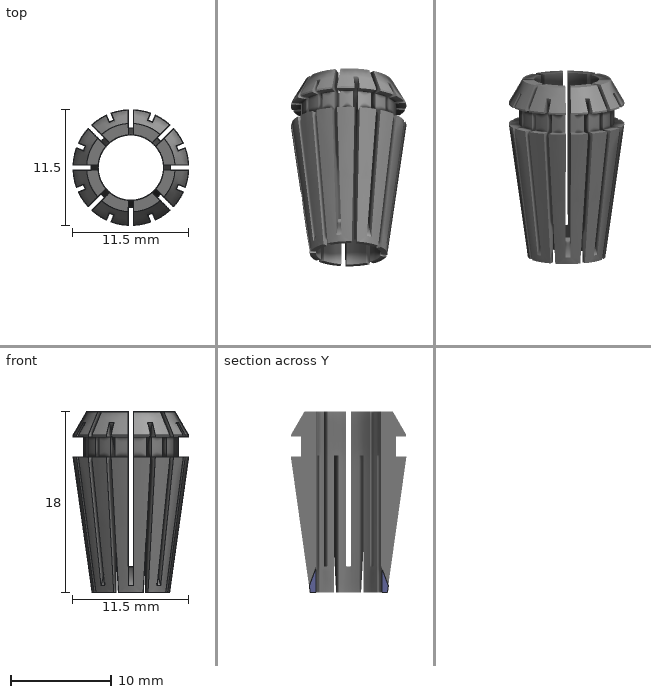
import cadquery as cq
import math


length = 18.0
body_height = 13.5
flange_bottom = 15.5
rim_height = 0.18

body_diameter = 11.52
flange_diameter = 11.48
groove_diameter = 9.49
bore_diameter = 6.5
body_half_angle = 8.0
nose_half_angle = 30.0

slits_per_end = 8
slit_width = 0.5
upper_slit_floor = 2.57
upper_slit_floor_angle = 69.5
lower_slit_roof = 16.94
lower_slit_roof_angle = 62.0
clearance = 0.9

body_radius = body_diameter / 2
flange_radius = flange_diameter / 2
groove_radius = groove_diameter / 2
bore_radius = bore_diameter / 2
rim_top = flange_bottom + rim_height
slit_pitch = 360.0 / slits_per_end


def make_body():
    """Ring of revolution: tapered body, groove and conical nose around a plain bore."""
    small_end_radius = body_radius - body_height * math.tan(math.radians(body_half_angle))
    nose_radius = nose_cone_radius(length)
    return (
        cq.Workplane("XZ")
        .moveTo(bore_radius, 0)
        .lineTo(small_end_radius, 0)
        .lineTo(body_radius, body_height)
        .lineTo(groove_radius, body_height)
        .lineTo(groove_radius, flange_bottom)
        .lineTo(flange_radius, flange_bottom)
        .lineTo(flange_radius, rim_top)
        .lineTo(nose_radius, length)
        .lineTo(bore_radius, length)
        .close()
        .revolve(360, (0, 0, 0), (0, 1, 0))
    )


def nose_cone_radius(height):
    """Radius of the nose cone at a height above the rim."""
    return flange_radius - (height - rim_top) * math.tan(math.radians(nose_half_angle))


def make_slit(end_radius, end_height, end_slope, open_height):
    """Radial slit along +X, closed by a sloping end and open towards open_height.

    The sloping end passes through (end_radius, end_height) with a rise of
    end_slope per unit of radius.
    """
    inner = bore_radius - clearance
    outer = body_radius + clearance
    inner_end = end_height + (inner - end_radius) * end_slope
    outer_end = end_height + (outer - end_radius) * end_slope
    return (
        cq.Workplane("XZ")
        .polyline([(inner, inner_end), (outer, outer_end), (outer, open_height), (inner, open_height)])
        .close()
        .extrude(slit_width / 2, both=True)
    )


def cut_around(body, slit, first_angle):
    """Cut evenly spaced copies of a slit, starting at first_angle."""
    for index in range(slits_per_end):
        angle = first_angle + index * slit_pitch
        body = body.cut(slit.rotate((0, 0, 0), (0, 0, 1), angle))
    return body


upper_slit = make_slit(
    bore_radius,
    upper_slit_floor,
    -math.tan(math.radians(upper_slit_floor_angle)),
    length + clearance,
)
lower_slit = make_slit(
    nose_cone_radius(lower_slit_roof),
    lower_slit_roof,
    math.tan(math.radians(lower_slit_roof_angle)),
    -clearance,
)

result = make_body()
result = cut_around(result, upper_slit, 0)
result = cut_around(result, lower_slit, slit_pitch / 2)